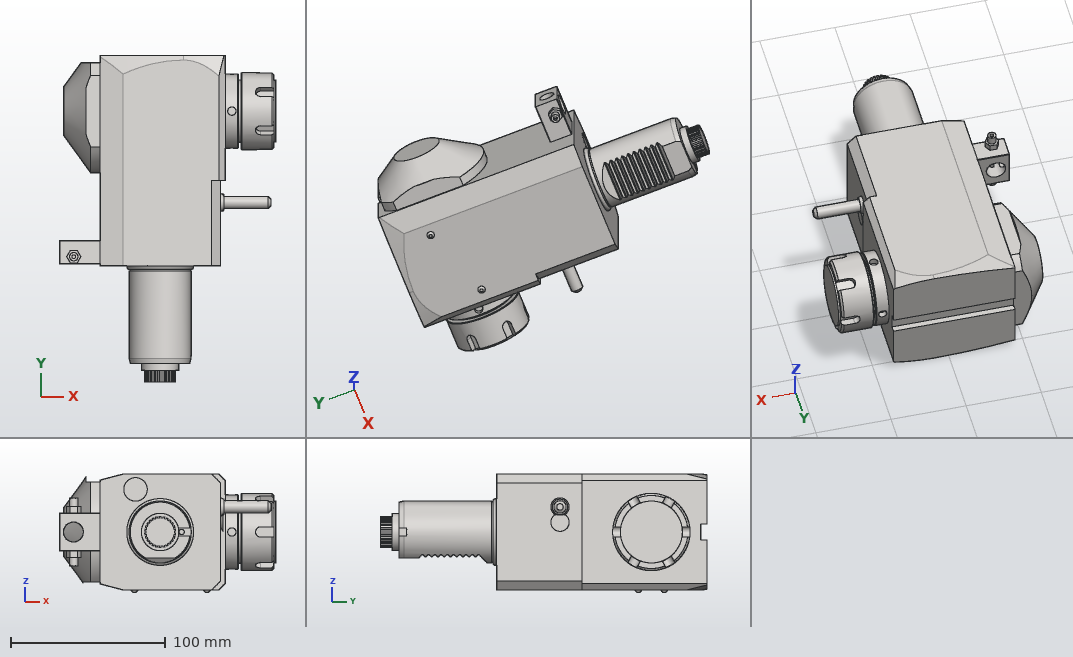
import cadquery as cq
import math


HOUSING_LEFT = -38.8
HOUSING_RIGHT = 42.1
FOOT_RIGHT = 39.0
FOOT_LENGTH = 55.2
HOUSING_LENGTH = 136.0
HALF_HEIGHT = 37.5
LEFT_BEVEL_WIDTH = 14.9
LEFT_BEVEL_HEIGHT = 3.9
RIGHT_CHAMFER = 4.2
FOOT_CHAMFER = 5.8
BACK_SLOT_WIDTH = 10.2
BACK_SLOT_DEPTH = 4.0

CROWN_X = 15.1
CROWN_HEIGHT = 36.9
CROWN_SLOPE = 0.2
CROWN_LEFT_RADIUS = 420.0
CROWN_RIGHT_RADIUS = 127.0
CROWN_REACH = 30.0
CROWN_OVERLAP = 10.0

SPINDLE_Y = 100.0
COVER_RADIUS = 39.8
COVER_RIM_X = -44.9
COVER_END_X = -62.3
COVER_END_RADIUS = 15.8
COVER_FLAT_Z = 32.4
COVER_TOP_FLAT_X = -47.8
COVER_BOTTOM_FLAT_X = -49.8
COVER_BACK_Y = 131.3

COLLAR_END_X = 50.6
COLLAR_RADIUS = 24.1
COLLAR_CHAMFER = 0.5
COLLAR_HOLE_X = 46.3
COLLAR_HOLE_RADIUS = 2.7
COLLAR_HOLE_DEPTH = 4.0
COLLAR_HOLE_COUNT = 4
NECK_RADIUS = 20.2
NUT_START_X = 52.3
NUT_END_X = 73.5
NUT_RADIUS = 25.0
NUT_BACK_CHAMFER = 0.5
NUT_CHAMFER = 1.4
NUT_LIP_X = 74.7
NUT_LIP_RADIUS = 20.0
NUT_SLOT_START_X = 61.6
NUT_SLOT_WIDTH = 6.7
NUT_SLOT_COUNT = 6

PIN_Y = 41.0
PIN_Z = 16.2
PIN_RADIUS = 4.0
PIN_END_X = 71.7
PIN_CHAMFER = 1.9
PIN_FLANGE_X = 41.2
PIN_FLANGE_BASE_RADIUS = 5.9
PIN_FLANGE_END_RADIUS = 5.0
SCREW_Z = 6.3
SCREW_HEAD_X = 40.6
SCREW_BASE_RADIUS = 3.6
SCREW_HEAD_RADIUS = 5.9

FLANGE_RADIUS = 21.6
FLANGE_THICKNESS = 2.4
FLANGE_ROUND = 1.8
RELIEF_RADIUS = 19.6
RELIEF_END = 3.4
SHANK_RADIUS = 20.1
SHANK_CHAMFER_START = 59.8
SHANK_END = 63.0
SHANK_END_RADIUS = 19.3
PILOT_RADIUS = 12.1
PILOT_END = 67.4
SPLINE_END = 75.0
SPLINE_RADIUS = 10.0
SPLINE_ROOT_RADIUS = 9.1
SPLINE_TEETH = 26
SPLINE_GAP_SHARE = 0.5

SERRATION_PITCH = 4.03
SERRATION_COUNT = 10
SERRATION_FIRST_ROOT = 11.6
SERRATION_ROOT_Z = -14.7
SERRATION_CREST_Z = -16.1
SERRATION_ROOT_FLAT = 0.7
SHANK_FLAT_Z = -16.9

NOTCH_INNER_X = 12.0
NOTCH_WIDTH = 5.4
NOTCH_DEPTH = 5.0
NOTCH_HOLE_X = 13.9
NOTCH_HOLE_RADIUS = 1.7
NOTCH_HOLE_DEPTH = 5.0

RECESS_X = -15.9
RECESS_Z = 27.5
RECESS_RADIUS = 7.6
RECESS_DEPTH = 0.6

BLOCK_LEFT = -64.9
BLOCK_FRONT = 1.3
BLOCK_DEPTH = 15.1
BLOCK_HALF_HEIGHT = 12.4
BLOCK_CHAMFER = 0.4
BORE_X = -56.0
BORE_RADIUS = 6.4
PORT_Y = 8.4
PORT_RADIUS = 4.8
PORT_DEPTH = 24.0
PORT_DRILL_RADIUS = 1.5
PORT_DRILL_DEPTH = 5.0
FITTING_X = -55.8
FITTING_Y = 6.0
FITTING_HEX_FLATS = 7.9
FITTING_HEX_TOP = 16.5
FITTING_RADIUS = 2.7
FITTING_TOP = 21.9
FITTING_HOLE_RADIUS = 1.2
FITTING_HOLE_DEPTH = 3.0
CHANNEL_RADIUS = 1.5

TIP_PLACES = [(-16.6, 108.3), (30.2, 91.6)]
TIP_RADIUS = 2.4
TIP_END_RADIUS = 1.0
TIP_Z = -39.1

OVERLAP = 1.0


def box(x0, x1, y0, y1, z0, z1):
    """Axis-aligned box between two corners."""
    return cq.Workplane("XY").box(x1 - x0, y1 - y0, z1 - z0, centered=False).translate((x0, y0, z0))


def turned_x(points, y, z):
    """Solid of revolution about a line along X; points are (x, radius)."""
    profile = cq.Workplane("XY").polyline(points).close()
    return profile.revolve(360, (0, 0, 0), (1, 0, 0)).translate((0, y, z))


def rod(radius, start, direction, length):
    """Round bar from a start point along a direction."""
    return cq.Workplane(obj=cq.Solid.makeCylinder(radius, length, cq.Vector(*start), cq.Vector(*direction)))


def housing_section(right, chamfer, y0, y1):
    """Length of the housing with a bevelled left side and a chamfered right side."""
    top = [
        (HOUSING_LEFT, HALF_HEIGHT - LEFT_BEVEL_HEIGHT),
        (HOUSING_LEFT + LEFT_BEVEL_WIDTH, HALF_HEIGHT),
        (right - chamfer, HALF_HEIGHT),
        (right, HALF_HEIGHT - chamfer),
    ]
    bottom = [(x, -z) for x, z in reversed(top)]
    section = cq.Workplane("XZ", origin=(0, y1, 0)).polyline(top + bottom).close()
    return section.extrude(y1 - y0)


def crown_cutter():
    """Tool above the crowned back edge, sloping up towards the front."""

    def arc_point(x, radius):
        drop = radius - math.sqrt(radius ** 2 - (x - CROWN_X) ** 2)
        return cq.Vector(x, HOUSING_LENGTH, CROWN_HEIGHT - drop)

    left = HOUSING_LEFT - CROWN_OVERLAP
    right = HOUSING_RIGHT + CROWN_OVERLAP
    ceiling = HALF_HEIGHT + CROWN_OVERLAP
    crown = arc_point(CROWN_X, CROWN_LEFT_RADIUS)
    left_end = arc_point(left, CROWN_LEFT_RADIUS)
    left_mid = arc_point((left + CROWN_X) / 2, CROWN_LEFT_RADIUS)
    right_mid = arc_point((right + CROWN_X) / 2, CROWN_RIGHT_RADIUS)
    right_end = arc_point(right, CROWN_RIGHT_RADIUS)
    left_top = cq.Vector(left, HOUSING_LENGTH, ceiling)
    right_top = cq.Vector(right, HOUSING_LENGTH, ceiling)
    outline = cq.Wire.assembleEdges([
        cq.Edge.makeThreePointArc(left_end, left_mid, crown),
        cq.Edge.makeThreePointArc(crown, right_mid, right_end),
        cq.Edge.makeLine(right_end, right_top),
        cq.Edge.makeLine(right_top, left_top),
        cq.Edge.makeLine(left_top, left_end),
    ])
    direction = cq.Vector(0, -CROWN_REACH, CROWN_REACH * CROWN_SLOPE)
    return cq.Workplane(obj=cq.Solid.extrudeLinear(outline, [], direction))


def make_housing():
    """Housing block with its crowned back edges, back slot and front recess."""
    foot = housing_section(FOOT_RIGHT, FOOT_CHAMFER, 0, FOOT_LENGTH)
    head = housing_section(HOUSING_RIGHT, RIGHT_CHAMFER, FOOT_LENGTH, HOUSING_LENGTH)
    body = foot.union(head)
    cutter = crown_cutter()
    body = body.cut(cutter).cut(cutter.mirror("XY"))
    half_slot = BACK_SLOT_WIDTH / 2
    slot_floor = HOUSING_LENGTH - BACK_SLOT_DEPTH
    body = body.cut(box(HOUSING_LEFT, HOUSING_RIGHT, slot_floor, HOUSING_LENGTH, -half_slot, half_slot))
    return body.cut(rod(RECESS_RADIUS, (RECESS_X, 0, RECESS_Z), (0, 1, 0), RECESS_DEPTH))


def make_cover():
    """Conical cover on the left, trimmed flat at the top, bottom and back."""
    inner_x = HOUSING_LEFT + OVERLAP
    cover = turned_x([
        (inner_x, 0),
        (inner_x, COVER_RADIUS),
        (COVER_RIM_X, COVER_RADIUS),
        (COVER_END_X, COVER_END_RADIUS),
        (COVER_END_X, 0),
    ], SPINDLE_Y, 0)
    front = SPINDLE_Y - COVER_RADIUS
    back = SPINDLE_Y + COVER_RADIUS
    cover = cover.cut(box(COVER_TOP_FLAT_X, inner_x, front, back, COVER_FLAT_Z, COVER_RADIUS))
    cover = cover.cut(box(COVER_BOTTOM_FLAT_X, inner_x, front, back, -COVER_RADIUS, -COVER_FLAT_Z))
    return cover.cut(box(COVER_END_X, inner_x, COVER_BACK_Y, back, -COVER_RADIUS, COVER_RADIUS))


def nut_slot(angle):
    """Round-ended wrench slot cut into the nut from its open end."""
    half_width = NUT_SLOT_WIDTH / 2
    round_center_x = NUT_SLOT_START_X + half_width
    height = NUT_RADIUS - NUT_LIP_RADIUS + OVERLAP
    slot_top = NUT_LIP_RADIUS + height
    straight = box(round_center_x, NUT_LIP_X, -half_width, half_width, NUT_LIP_RADIUS, slot_top)
    end = rod(half_width, (round_center_x, 0, NUT_LIP_RADIUS), (0, 0, 1), height)
    slot = straight.union(end)
    return slot.rotate((0, 0, 0), (1, 0, 0), angle).translate((0, SPINDLE_Y, 0))


def make_nut():
    """Collar, neck and collet nut on the right."""
    inner_x = HOUSING_RIGHT - OVERLAP
    nut = turned_x([
        (inner_x, 0),
        (inner_x, COLLAR_RADIUS),
        (COLLAR_END_X - COLLAR_CHAMFER, COLLAR_RADIUS),
        (COLLAR_END_X, COLLAR_RADIUS - COLLAR_CHAMFER),
        (COLLAR_END_X, NECK_RADIUS),
        (NUT_START_X, NECK_RADIUS),
        (NUT_START_X, NUT_RADIUS - NUT_BACK_CHAMFER),
        (NUT_START_X + NUT_BACK_CHAMFER, NUT_RADIUS),
        (NUT_END_X - NUT_CHAMFER, NUT_RADIUS),
        (NUT_END_X, NUT_RADIUS - NUT_CHAMFER),
        (NUT_END_X, NUT_LIP_RADIUS),
        (NUT_LIP_X, NUT_LIP_RADIUS),
        (NUT_LIP_X, 0),
    ], SPINDLE_Y, 0)
    slot_step = 360 / NUT_SLOT_COUNT
    for i in range(NUT_SLOT_COUNT):
        nut = nut.cut(nut_slot((i + 0.5) * slot_step))
    for i in range(COLLAR_HOLE_COUNT):
        angle = 2 * math.pi * i / COLLAR_HOLE_COUNT
        outward = (0, math.cos(angle), math.sin(angle))
        floor_radius = COLLAR_RADIUS - COLLAR_HOLE_DEPTH
        start = (COLLAR_HOLE_X, SPINDLE_Y + floor_radius * outward[1], floor_radius * outward[2])
        nut = nut.cut(rod(COLLAR_HOLE_RADIUS, start, outward, COLLAR_HOLE_DEPTH + OVERLAP))
    return nut


def make_pin():
    """Locating pin with its tapered flange."""
    inner_x = FOOT_RIGHT - OVERLAP
    return turned_x([
        (inner_x, 0),
        (inner_x, PIN_FLANGE_BASE_RADIUS),
        (FOOT_RIGHT, PIN_FLANGE_BASE_RADIUS),
        (PIN_FLANGE_X, PIN_FLANGE_END_RADIUS),
        (PIN_FLANGE_X, PIN_RADIUS),
        (PIN_END_X - PIN_CHAMFER, PIN_RADIUS),
        (PIN_END_X, PIN_RADIUS - PIN_CHAMFER),
        (PIN_END_X, 0),
    ], PIN_Y, PIN_Z)


def make_screw_head():
    """Flared screw head standing out of the right side below the pin."""
    inner_x = FOOT_RIGHT - OVERLAP
    return turned_x([
        (inner_x, 0),
        (inner_x, SCREW_BASE_RADIUS),
        (FOOT_RIGHT, SCREW_BASE_RADIUS),
        (SCREW_HEAD_X, SCREW_HEAD_RADIUS),
        (SCREW_HEAD_X, 0),
    ], PIN_Y, SCREW_Z)


def serration_cutter():
    """Tool for the ramps, serrations and end flat under the shank; all flanks at 45 degrees."""
    half_flat = SERRATION_ROOT_FLAT / 2
    flank = SERRATION_ROOT_Z - SERRATION_CREST_Z
    floor_z = -FLANGE_RADIUS - OVERLAP
    first_root = -SERRATION_FIRST_ROOT
    last_root = first_root - (SERRATION_COUNT - 1) * SERRATION_PITCH
    ramp_foot = first_root + half_flat + SERRATION_ROOT_Z - floor_z
    points = [(ramp_foot, floor_z)]
    for i in range(SERRATION_COUNT):
        root = first_root - i * SERRATION_PITCH
        if i > 0:
            points.append((root + half_flat + flank, SERRATION_CREST_Z))
        points.append((root + half_flat, SERRATION_ROOT_Z))
        points.append((root - half_flat, SERRATION_ROOT_Z))
        if i < SERRATION_COUNT - 1:
            points.append((root - half_flat - flank, SERRATION_CREST_Z))
    points.append((last_root - half_flat - SERRATION_ROOT_Z + SHANK_FLAT_Z, SHANK_FLAT_Z))
    points.append((-SHANK_END, SHANK_FLAT_Z))
    points.append((-SHANK_END, floor_z))
    return cq.Workplane("YZ").polyline(points).close().extrude(SHANK_RADIUS, both=True)


def cut_spline(shank):
    """Cut the tooth gaps of the drive spline around the shank end."""
    gap = 2 * math.pi * SPLINE_RADIUS / SPLINE_TEETH * SPLINE_GAP_SHARE
    groove = box(SPLINE_ROOT_RADIUS, SPLINE_RADIUS + OVERLAP, -SPLINE_END, -PILOT_END, -gap / 2, gap / 2)
    for i in range(SPLINE_TEETH):
        shank = shank.cut(groove.rotate((0, 0, 0), (0, 1, 0), i * 360 / SPLINE_TEETH))
    return shank


def make_shank():
    """Turned shank with its serration, end notch and drive spline."""
    profile = (
        cq.Workplane("XY")
        .moveTo(0, OVERLAP)
        .lineTo(FLANGE_RADIUS, OVERLAP)
        .lineTo(FLANGE_RADIUS, FLANGE_ROUND - FLANGE_THICKNESS)
        .tangentArcPoint((FLANGE_RADIUS - FLANGE_ROUND, -FLANGE_THICKNESS), relative=False)
        .lineTo(RELIEF_RADIUS, -FLANGE_THICKNESS)
        .lineTo(RELIEF_RADIUS, -RELIEF_END)
        .lineTo(SHANK_RADIUS, -RELIEF_END)
        .lineTo(SHANK_RADIUS, -SHANK_CHAMFER_START)
        .lineTo(SHANK_END_RADIUS, -SHANK_END)
        .lineTo(PILOT_RADIUS, -SHANK_END)
        .lineTo(PILOT_RADIUS, -PILOT_END)
        .lineTo(SPLINE_RADIUS, -PILOT_END)
        .lineTo(SPLINE_RADIUS, -SPLINE_END)
        .lineTo(0, -SPLINE_END)
        .close()
    )
    shank = profile.revolve(360, (0, 0, 0), (0, 1, 0))
    shank = shank.cut(serration_cutter())
    half_notch = NOTCH_WIDTH / 2
    notch_floor = NOTCH_DEPTH - SHANK_END
    shank = shank.cut(box(NOTCH_INNER_X, SHANK_RADIUS, -SHANK_END, notch_floor, -half_notch, half_notch))
    shank = shank.cut(rod(NOTCH_HOLE_RADIUS, (NOTCH_HOLE_X, notch_floor, 0), (0, 1, 0), NOTCH_HOLE_DEPTH))
    return cut_spline(shank)


def make_fitting(side):
    """Hexagon fitting standing on the coolant block; side is +1 for the top, -1 for the bottom."""
    hexagon_diameter = FITTING_HEX_FLATS / math.cos(math.pi / 6)
    base = BLOCK_HALF_HEIGHT - OVERLAP
    hexagon = (
        cq.Workplane("XY", origin=(FITTING_X, FITTING_Y, base))
        .polygon(6, hexagon_diameter)
        .extrude(FITTING_HEX_TOP - base)
    )
    stem = rod(FITTING_RADIUS, (FITTING_X, FITTING_Y, base), (0, 0, 1), FITTING_TOP - base)
    hole_start = (FITTING_X, FITTING_Y, FITTING_TOP)
    hole = rod(FITTING_HOLE_RADIUS, hole_start, (0, 0, -1), FITTING_HOLE_DEPTH)
    fitting = hexagon.union(stem).cut(hole)
    if side < 0:
        fitting = fitting.mirror("XY")
    return fitting


def make_coolant_block():
    """Coolant block with a through bore, two fittings and the channels leading to them."""
    block = box(
        BLOCK_LEFT, HOUSING_LEFT + OVERLAP,
        BLOCK_FRONT, BLOCK_FRONT + BLOCK_DEPTH,
        -BLOCK_HALF_HEIGHT, BLOCK_HALF_HEIGHT,
    )
    block = block.edges("|X").chamfer(BLOCK_CHAMFER)
    for side in (1, -1):
        block = block.union(make_fitting(side))
    block = block.cut(rod(BORE_RADIUS, (BORE_X, BLOCK_FRONT, 0), (0, 1, 0), BLOCK_DEPTH))
    channel_start = (FITTING_X, FITTING_Y, -BLOCK_HALF_HEIGHT)
    return block.cut(rod(CHANNEL_RADIUS, channel_start, (0, 0, 1), 2 * BLOCK_HALF_HEIGHT))


def make_port_cutter():
    """Stepped side port running through the coolant block into the housing."""
    port = rod(PORT_RADIUS, (BLOCK_LEFT, PORT_Y, 0), (1, 0, 0), PORT_DEPTH)
    port_floor = (BLOCK_LEFT + PORT_DEPTH, PORT_Y, 0)
    return port.union(rod(PORT_DRILL_RADIUS, port_floor, (1, 0, 0), PORT_DRILL_DEPTH))


def make_screw_tip(x, y):
    """Pointed screw tip under the housing."""
    base = -HALF_HEIGHT
    collar = rod(TIP_RADIUS, (x, y, base), (0, 0, 1), OVERLAP)
    cone = cq.Solid.makeCone(
        TIP_RADIUS, TIP_END_RADIUS, base - TIP_Z, cq.Vector(x, y, base), cq.Vector(0, 0, -1)
    )
    return collar.union(cq.Workplane(obj=cone))


result = make_housing()
for piece in (make_cover(), make_nut(), make_pin(), make_screw_head(), make_shank(), make_coolant_block()):
    result = result.union(piece)
result = result.cut(make_port_cutter())
for tip_x, tip_y in TIP_PLACES:
    result = result.union(make_screw_tip(tip_x, tip_y))